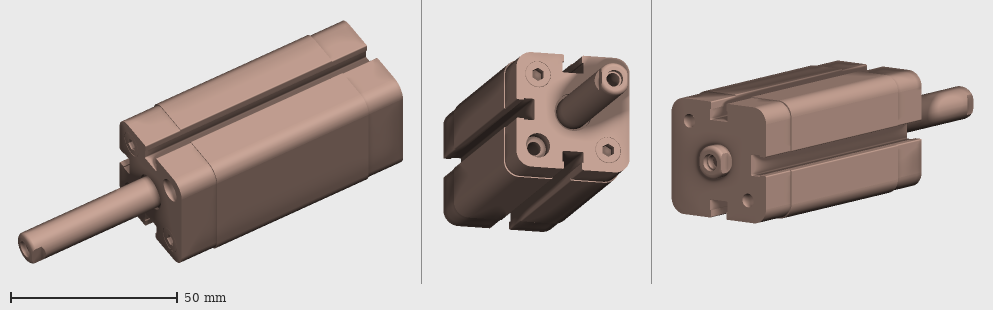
import cadquery as cq
import math


barrel_side = 36.1
cap_side = 35.4
corner_radius = 4.7
cap_length = 12.3
total_length = 127.0
rod_front_reach = 44.5
rod_back_reach = 4.3
body_length = total_length - rod_front_reach - rod_back_reach
barrel_length = body_length - 2 * cap_length
front_face = 0.0
back_face = front_face + body_length

slot_mouth = 5.7
slot_inner = 6.6
slot_rounding = 0.4
slot_lip_depth = 2.3
slot_floor_depth = 5.6
slot_lip_height = cap_side / 2 - slot_lip_depth
slot_floor_height = cap_side / 2 - slot_floor_depth
slot_angles = (0, -90, 180)

rod_diameter = 10.0
rod_bore_diameter = 11.5
rod_bore_depth = 1.0
tip_diameter = 7.5
tip_rounding = (rod_diameter - tip_diameter) / 2
flats_width = 8.0
flats_length = 3.3
full_turn = 360
tap_diameter = 4.2
tap_mouth_diameter = 5.2
tap_mouth_depth = 1.8
tap_depth = 11.4
drill_point_angle = 118

hole_spacing = 22.0
hole_offset = hole_spacing / 2
through_diameter = 4.2
counterbore_diameter = 7.5
counterbore_depth = 4.5
screw_head_diameter = 8.0
screw_head_face_diameter = 7.5
screw_head_length = 4.0
socket_width = 3.5
socket_depth = 3.0
hexagon_turn = 90
through_hole_spots = ((hole_offset, hole_offset), (-hole_offset, -hole_offset))
screw_spots = ((-hole_offset, hole_offset), (hole_offset, -hole_offset))


def plane_at(y):
    """Plane across the rod axis: local x = X, local y = Z, normal toward -Y."""
    return cq.Workplane("XZ", origin=(0, y, 0))


def sensor_slot(side, y_start, length):
    """Undercut groove in the top face of a square section, with rounded mouth and floor corners."""
    top = side / 2
    half = (
        plane_at(y_start)
        .moveTo(0, top)
        .lineTo(slot_mouth / 2 + slot_rounding, top)
        .radiusArc((slot_mouth / 2, top - slot_rounding), -slot_rounding)
        .lineTo(slot_mouth / 2, slot_lip_height)
        .lineTo(slot_inner / 2, slot_lip_height)
        .lineTo(slot_inner / 2, slot_floor_height + slot_rounding)
        .radiusArc((slot_inner / 2 - slot_rounding, slot_floor_height), slot_rounding)
        .lineTo(0, slot_floor_height)
        .close()
        .extrude(-length)
    )
    return half.union(half.mirror("YZ"))


def body_section(side, y_start, length):
    """Square length of the body with rounded corners and its sensor slots."""
    section = plane_at(y_start).rect(side, side).extrude(-length).edges("|Y").fillet(corner_radius)
    slot = sensor_slot(side, y_start, length)
    for angle in slot_angles:
        section = section.cut(slot.rotate((0, 0, 0), (0, 1, 0), angle))
    return section


def make_body():
    front_cap = body_section(cap_side, front_face, cap_length)
    barrel = body_section(barrel_side, front_face + cap_length, barrel_length)
    back_cap = body_section(cap_side, back_face - cap_length, cap_length)
    return front_cap.union(barrel).union(back_cap)


def cut_corner_holes(body):
    through = plane_at(front_face).pushPoints(through_hole_spots).circle(through_diameter / 2)
    counterbore = plane_at(front_face).pushPoints(through_hole_spots).circle(counterbore_diameter / 2)
    body = body.cut(through.extrude(-body_length))
    return body.cut(counterbore.extrude(-counterbore_depth))


def add_cap_screws(body):
    """Flush screw heads that fill their pockets, with a rounded rim and a hexagon socket."""
    rim_rounding = (screw_head_diameter - screw_head_face_diameter) / 2
    across_corners = socket_width / math.cos(math.pi / 6)
    for x, z in screw_spots:
        seat = plane_at(front_face).center(x, z)
        pocket = seat.circle(screw_head_diameter / 2).extrude(-screw_head_length)
        head = pocket.faces("<Y").edges().fillet(rim_rounding)
        socket = plane_at(front_face).center(x, z).transformed(rotate=(0, 0, hexagon_turn))
        head = head.cut(socket.polygon(6, across_corners).extrude(-socket_depth))
        body = body.cut(pocket).union(head)
    return body


def rod_tip_cut(reach):
    """Material removed at a rod end pointing to -Y, its end face at Y = -reach."""
    rod_radius = rod_diameter / 2
    tap_radius = tap_diameter / 2
    mouth_radius = tap_mouth_diameter / 2
    point_depth = tap_radius / math.tan(math.radians(drill_point_angle / 2))
    tap = (
        cq.Workplane("XY")
        .polyline([
            (0, -reach),
            (mouth_radius, -reach),
            (mouth_radius, -reach + tap_mouth_depth),
            (tap_radius, -reach + tap_mouth_depth),
            (tap_radius, -reach + tap_depth),
            (0, -reach + tap_depth + point_depth),
        ])
        .close()
        .revolve(full_turn, (0, 0, 0), (0, 1, 0))
    )
    flat_depth = (rod_diameter - flats_width) / 2
    flat = (
        cq.Workplane("XY")
        .polyline([
            (flats_width / 2, -reach),
            (rod_radius, -reach),
            (rod_radius, -reach + flats_length + flat_depth),
            (flats_width / 2, -reach + flats_length),
        ])
        .close()
        .extrude(rod_radius, both=True)
    )
    return tap.union(flat).union(flat.mirror("YZ"))


def make_rod():
    rod = plane_at(-rod_front_reach).circle(rod_diameter / 2).extrude(-total_length)
    rod = rod.faces("<Y or >Y").fillet(tip_rounding)
    rod = rod.cut(rod_tip_cut(rod_front_reach))
    back_cut = rod_tip_cut(rod_back_reach).mirror("XZ").translate((0, back_face, 0))
    return rod.cut(back_cut)


def cut_rod_recess(body):
    recess = plane_at(front_face).circle(rod_bore_diameter / 2).extrude(-rod_bore_depth)
    return body.cut(recess)


body = make_body()
body = cut_corner_holes(body)
body = add_cap_screws(body)
body = cut_rod_recess(body)
result = body.union(make_rod())